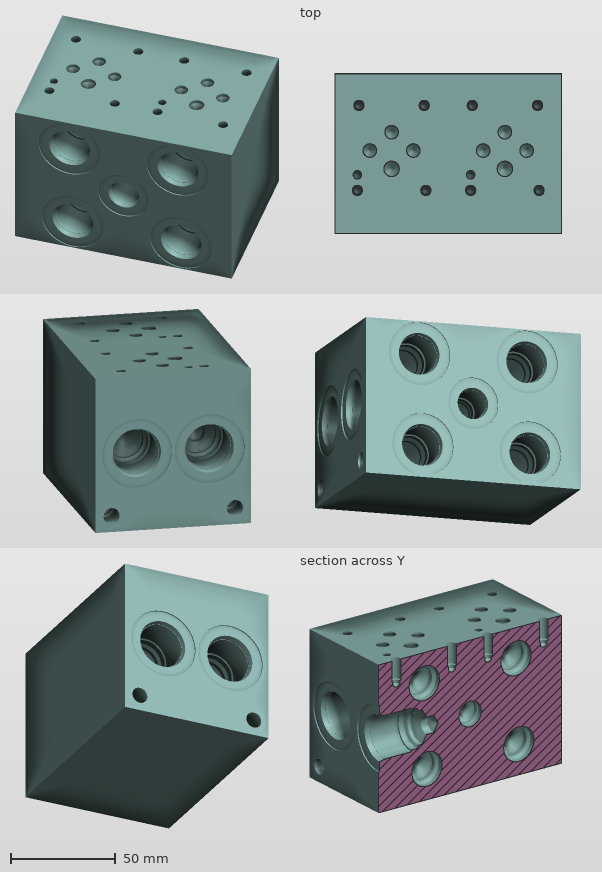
import cadquery as cq
import math

LENGTH = 108.0
WIDTH = 76.2
HEIGHT = 76.2
FRONT = -WIDTH / 2
SIDE = -LENGTH / 2
TOP = HEIGHT / 2
INTO_FRONT = (0, 1, 0)
INTO_SIDE = (1, 0, 0)
INTO_TOP = (0, 0, -1)

DRILL_HALF_ANGLE = math.radians(59)

SPOT_DEPTH = 0.6
SEAT_DEPTH = 3.0
THREAD_DEPTH = 19.4
CORE_DEPTH = 22.7
DRILL_RUN = 2.2

STATION_PITCH = 54.0
STATIONS = [-STATION_PITCH / 2, STATION_PITCH / 2]

PORT_ROW_Z = 22.2
PORT_A_SHIFT = 1.6

SIDE_PORT_Y = 17.8
MAIN_SEAT = 22.6
RELIEF_LENGTH = 0.6
SIDE_BOLT_OFFSET = 30.2

BACK_ROW_Y = 23.0
BOLT_ROW_PITCH = 40.5
BACK_BOLT_X = 15.5
FRONT_BOLT_X = 16.3
FLOW_HOLE_X = 10.4
FLOW_HOLE_DEPTH = 1.6
FLOW_SIDE_DROP = 21.5
FLOW_BACK_DROP = 12.7
FLOW_FRONT_DROP = 30.2
PIN_DROP = 33.0


def narrowing(wide, narrow):
    """Depth of the drill-point cone between two bore diameters."""
    return (wide - narrow) / 2 / math.tan(DRILL_HALF_ANGLE)


def drilled_cavity(profile):
    """Revolved cutter along +Z: (diameter, depth) rim points, closed by a drill point."""
    last_diameter, last_depth = profile[-1]
    tip_depth = last_depth + narrowing(last_diameter, 0)
    outline = [(0, 0)]
    outline += [(diameter / 2, depth) for diameter, depth in profile]
    outline.append((0, tip_depth))
    return cq.Workplane("XZ").polyline(outline).close().revolve(360, (0, 0, 0), (0, 1, 0))


def port_cavity(spot, mouth, seat, thread, core, drill):
    """Threaded port: spotface, tapered seal seat, threaded bore, core hole, then a smaller drill."""
    drill_start = CORE_DEPTH + narrowing(core, drill)
    return drilled_cavity([
        (spot, 0),
        (spot, SPOT_DEPTH),
        (mouth, SPOT_DEPTH),
        (seat, SEAT_DEPTH),
        (thread, SEAT_DEPTH),
        (thread, THREAD_DEPTH),
        (core, THREAD_DEPTH),
        (core, CORE_DEPTH),
        (drill, drill_start),
        (drill, drill_start + DRILL_RUN),
    ])


def tapped_hole(thread, core, thread_depth, depth):
    return drilled_cavity([
        (thread, 0),
        (thread, thread_depth),
        (core, thread_depth + narrowing(thread, core)),
        (core, depth),
    ])


def flat_bore(bore, depth):
    return cq.Workplane("XY").circle(bore / 2).extrude(depth)


def drilled_hole(bore, depth):
    return drilled_cavity([(bore, 0), (bore, depth)])


def cut_at(body, cutter, point, direction):
    placement = cq.Plane(origin=point, normal=direction).location
    return body.cut(cq.Workplane(cutter.val().moved(placement)))


result = cq.Workplane("XY").box(LENGTH, WIDTH, HEIGHT)

work_port = port_cavity(spot=30.7, mouth=20.4, seat=19.2, thread=19.0, core=17.5, drill=14.2)
gauge_port = port_cavity(spot=25.0, mouth=15.3, seat=14.4, thread=14.2, core=12.8, drill=12.0)
for station_x in STATIONS:
    result = cut_at(result, work_port, (station_x, FRONT, PORT_ROW_Z), INTO_FRONT)
    result = cut_at(result, work_port, (station_x + PORT_A_SHIFT, FRONT, -PORT_ROW_Z), INTO_FRONT)
result = cut_at(result, gauge_port, (0, FRONT, 0), INTO_FRONT)

main_port = port_cavity(spot=34.1, mouth=23.9, seat=MAIN_SEAT, thread=22.2, core=20.4, drill=17.5)
side_bolt = tapped_hole(thread=7.9, core=6.4, thread_depth=13.0, depth=16.2)
for sign in (-1, 1):
    result = cut_at(result, main_port, (SIDE, sign * SIDE_PORT_Y, 0), INTO_SIDE)
    result = cut_at(result, side_bolt, (SIDE, sign * SIDE_BOLT_OFFSET, -SIDE_BOLT_OFFSET), INTO_SIDE)

pressure_point = (SIDE, -SIDE_PORT_Y, 0)
seat_relief = flat_bore(MAIN_SEAT, SEAT_DEPTH + RELIEF_LENGTH)
pilot_drill = drilled_hole(bore=8.7, depth=32.4)
result = cut_at(result, seat_relief, pressure_point, INTO_SIDE)
result = cut_at(result, pilot_drill, pressure_point, INTO_SIDE)

bolt_hole = tapped_hole(thread=4.9, core=3.8, thread_depth=10.8, depth=13.0)
flow_hole = drilled_hole(bore=6.5, depth=FLOW_HOLE_DEPTH)
pressure_hole = drilled_hole(bore=7.3, depth=FLOW_HOLE_DEPTH)
pin_hole = drilled_hole(bore=4.0, depth=4.3)
pattern = [
    (bolt_hole, -BACK_BOLT_X, 0),
    (bolt_hole, BACK_BOLT_X, 0),
    (bolt_hole, -FRONT_BOLT_X, BOLT_ROW_PITCH),
    (bolt_hole, FRONT_BOLT_X, BOLT_ROW_PITCH),
    (flow_hole, -FLOW_HOLE_X, FLOW_SIDE_DROP),
    (flow_hole, FLOW_HOLE_X, FLOW_SIDE_DROP),
    (flow_hole, 0, FLOW_BACK_DROP),
    (pressure_hole, 0, FLOW_FRONT_DROP),
    (pin_hole, -FRONT_BOLT_X, PIN_DROP),
]
for station_x in STATIONS:
    for cutter, offset_x, drop in pattern:
        result = cut_at(result, cutter, (station_x + offset_x, BACK_ROW_Y - drop, TOP), INTO_TOP)